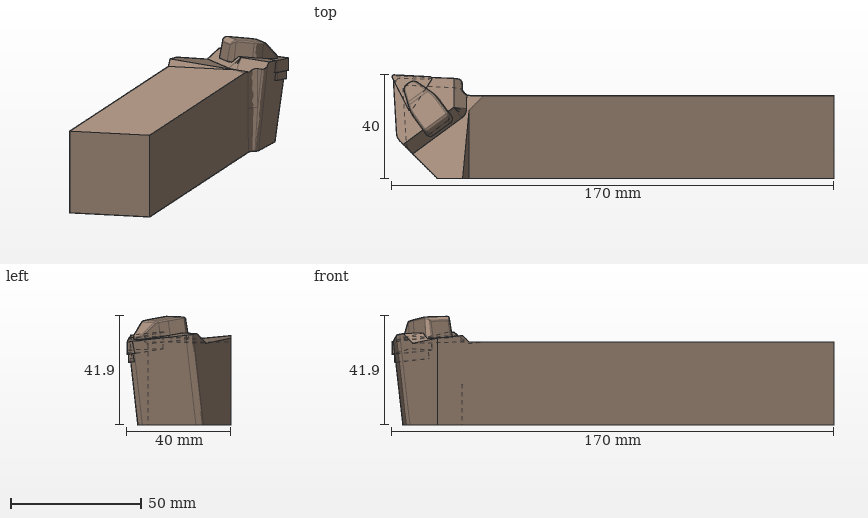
import cadquery as cq
import math

overall_length = 170.0
shank_width = 32.0
shank_height = 32.0
tip_y = 40.0
tip_height = shank_height

head_draft = math.tan(math.radians(6))
left_lead = math.tan(math.radians(4))
side_lead = math.tan(math.radians(3))
left_face_x = 0.35
side_face_y = 39.6
head_back_x = 27.0
head_blank_height = 40.0
corner_cut = 17.5
corner_cut_radius = 4.5
nose_radius = 1.7
inner_radius = 3.0
ramp_end_x = 29.6

seat_tilt = math.tan(math.radians(6))
seat_drop = 4.5
seat_flank_angle = 45.0
seat_corner_x = 24.0
seat_corner_y = -12.6
seat_front_angle = math.radians(36.5)
cutter_reach = 80.0

insert_side = 16.5
insert_radius = 0.8
insert_thickness = 4.76
shim_inset = 0.4
shim_radius = 1.2
shim_thickness = 3.18

clamp_datum_x = 18.0
clamp_datum_y = -19.15
clamp_rear = -2.0
clamp_bend = 9.7
clamp_nose = 19.8
clamp_half_width = 6.1
clamp_nose_half_width = 2.6
clamp_rear_corner_radius = 2.0
clamp_bend_radius = 13.0
clamp_nose_radius = 3.0
clamp_lip_depth = 2.5
clamp_top_height = 6.05
clamp_taper = 3.0
clamp_slope_start = 12.5
clamp_slope_angle = 37.0
clamp_slope_radius = 2.0
clamp_rear_top_radius = 2.2
clamp_edge_radius = 0.6

seat_plane = cq.Plane(
    origin=(0, tip_y, tip_height),
    xDir=(1, 0, seat_tilt),
    normal=(-seat_tilt, seat_tilt, 1),
)


def nearest(x, y, z):
    return cq.selectors.NearestToPointSelector((x, y, z))


def space_above_seat(offset):
    """Large block that starts at the given distance above the seat."""
    return (
        cq.Workplane(seat_plane)
        .workplane(offset=offset)
        .rect(2 * overall_length, 2 * overall_length)
        .extrude(cutter_reach)
    )


def head_outline(z):
    """Corners of the head at one height: tip, back of the side face, then clockwise."""
    draft_shift = head_draft * (tip_height - z)
    left_x = left_face_x + draft_shift
    side_y = side_face_y - draft_shift
    tip_x = (left_x + left_lead * (tip_y - side_y)) / (1 - left_lead * side_lead)
    cut_x = (left_x + left_lead * (tip_y - corner_cut)) / (1 - left_lead)
    return [
        (tip_x, side_y - side_lead * tip_x),
        (head_back_x, side_y - side_lead * head_back_x),
        (head_back_x, 0),
        (corner_cut, 0),
        (cut_x, corner_cut - cut_x),
    ]


def make_head():
    head = (
        cq.Workplane("XY")
        .polyline(head_outline(0)).close()
        .workplane(offset=head_blank_height)
        .polyline(head_outline(head_blank_height)).close()
        .loft(ruled=True)
    )
    middle = head_blank_height / 2
    tip, side_back, _, _, cut_left = head_outline(middle)
    for corner, radius in ((tip, nose_radius), (side_back, nose_radius), (cut_left, corner_cut_radius)):
        head = head.edges(nearest(*corner, middle)).fillet(radius)
    return head


def make_shank():
    """Shank bar with the raised ramp that joins the head."""
    ramp_start_x = ramp_end_x - (head_blank_height - shank_height)
    profile = [
        (corner_cut, 0),
        (overall_length, 0),
        (overall_length, shank_height),
        (ramp_end_x, shank_height),
        (ramp_start_x, head_blank_height),
        (corner_cut, head_blank_height),
    ]
    return cq.Workplane("XZ").polyline(profile).close().extrude(-shank_width)


def make_seat_block():
    """Oversized block with sloping flanks; only its front corner lies inside the head."""
    front_fall = math.tan(seat_front_angle) * (seat_corner_x + cutter_reach)
    outline = [
        (seat_corner_x, seat_corner_y),
        (seat_corner_x, cutter_reach),
        (-cutter_reach, cutter_reach),
        (-cutter_reach, seat_corner_y - front_fall),
    ]
    seat_outline = cq.Workplane(seat_plane).polyline(outline).close()
    return seat_outline.extrude(-2 * seat_drop, taper=-seat_flank_angle)


def triangle_prism(inset, corner_radius, bottom, top):
    """Upright rounded triangle between two seat-parallel planes, inset from the insert's sides."""
    axis_angle = -math.radians(30) - math.atan(side_lead)
    center_distance = insert_side / math.sqrt(3) - 2 * insert_radius
    center_x = insert_radius + center_distance * math.cos(axis_angle)
    center_y = tip_y - insert_radius + center_distance * math.sin(axis_angle)
    corner_distance = insert_side / math.sqrt(3) - 2 * inset
    corners = []
    for index in range(3):
        angle = axis_angle + math.pi + index * 2 * math.pi / 3
        corner_x = center_x + corner_distance * math.cos(angle)
        corner_y = center_y + corner_distance * math.sin(angle)
        corners.append((corner_x, corner_y))
    prism = cq.Workplane("XY").polyline(corners).close().extrude(head_blank_height)
    prism = prism.edges("|Z").fillet(corner_radius)
    return prism.intersect(space_above_seat(bottom)).cut(space_above_seat(top))


def rounded_polygon(points, rounded_corners):
    """Closed sketch whose listed (corner, radius) pairs are rounded."""
    sketch = cq.Sketch().polygon(points + points[:1])
    for corner, radius in rounded_corners:
        sketch = sketch.vertices(nearest(*corner, 0)).fillet(radius).reset()
    return sketch


def make_clamp():
    height = clamp_lip_depth + clamp_top_height
    wall_lean = height * math.tan(math.radians(clamp_taper))
    datum = seat_plane.toWorldCoords((clamp_datum_x, clamp_datum_y, -clamp_lip_depth))
    axis = seat_plane.xDir * -math.sin(seat_front_angle) + seat_plane.yDir * math.cos(seat_front_angle)
    clamp_plane = cq.Plane(datum, axis, seat_plane.zDir)

    half_outline = [
        (clamp_rear, clamp_half_width),
        (clamp_bend, clamp_half_width),
        (clamp_nose, clamp_nose_half_width),
    ]
    mirrored_half = [(x, -y) for x, y in half_outline]
    radii = [clamp_rear_corner_radius, clamp_bend_radius, clamp_nose_radius]
    rounded_corners = list(zip(half_outline, radii)) + list(zip(mirrored_half, radii))
    plan = rounded_polygon(mirrored_half + half_outline[::-1], rounded_corners)
    body = cq.Workplane(clamp_plane).placeSketch(plan).extrude(height, taper=clamp_taper)

    profile_end = clamp_nose + clamp_nose_radius
    slope_drop = (profile_end - clamp_slope_start) * math.tan(math.radians(clamp_slope_angle))
    rear_top = (clamp_rear + wall_lean, height)
    slope_top = (clamp_slope_start, height)
    profile = rounded_polygon(
        [(clamp_rear, 0), rear_top, slope_top, (profile_end, height - slope_drop), (profile_end, 0)],
        [(rear_top, clamp_rear_top_radius), (slope_top, clamp_slope_radius)],
    )
    side_plane = cq.Plane(datum, axis, -clamp_plane.yDir)
    envelope = cq.Workplane(side_plane).placeSketch(profile).extrude(2 * clamp_half_width, both=True)

    long_edge = clamp_plane.toWorldCoords((clamp_bend / 2, clamp_half_width - wall_lean, height))
    return body.intersect(envelope).edges(nearest(*long_edge.toTuple())).fillet(clamp_edge_radius)


def make_insert():
    return triangle_prism(0, insert_radius, -insert_thickness, 0)


def make_holder(insert_pocket):
    """Shank, head, shim and clamp in one body, with a pocket that fits the insert."""
    body = make_head().union(make_shank())
    body = body.edges(nearest(head_back_x, shank_width, shank_height / 2)).fillet(inner_radius)
    relief = space_above_seat(-seat_drop).cut(make_seat_block())
    shim_bottom = -insert_thickness - shim_thickness
    shim = triangle_prism(shim_inset, shim_radius, shim_bottom, -insert_thickness)
    return body.cut(relief).union(shim).union(make_clamp()).cut(insert_pocket)


insert = make_insert()
holder = make_holder(insert)
result = cq.Compound.makeCompound([holder.solids().val(), insert.solids().val()])